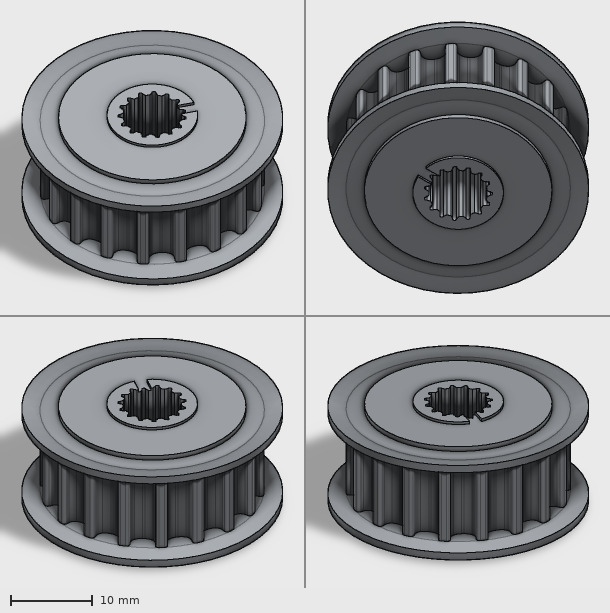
import cadquery as cq
import math


total_height = 14.29
half_height = total_height / 2
hub_rise = 0.36
boss_top = half_height - hub_rise
tooth_end = 5.14

flange_radius = 16.0
flange_thickness = 1.0
flange_dish = 0.39

tooth_tip_radius = 13.755
boss_radius = 11.5
hub_radius = 5.56

tooth_count = 18
tooth_pitch = 360 / tooth_count
groove_root_radius = 11.65
groove_flat_half_width = 0.14
groove_floor_half_width = 1.13
groove_mouth_half_width = 2.07
groove_floor_arc_radius = 1.8
tooth_tip_fillet = 0.42

spline_count = 15
spline_pitch = 360 / spline_count
bore_radius = 3.57
spline_root_radius = 4.2
spline_root_fillet = 0.24
spline_mouth_half_width = 0.48

slot_width = 1.6

cut_margin = 1.0


def centered_cylinder(radius, half_length):
    return cq.Workplane("XY").circle(radius).extrude(half_length, both=True)


def turned(body, angle):
    return body.rotate((0, 0, 0), (0, 0, 1), angle)


def belt_groove():
    """Cutter for one belt groove on the +X side: flat root, two arcs, radial wall and tip fillet."""
    floor_angle = math.asin((groove_floor_half_width - groove_flat_half_width) / groove_floor_arc_radius)
    floor_end_x = groove_root_radius + groove_floor_arc_radius * (1 - math.cos(floor_angle))

    mouth_angle = math.asin(groove_mouth_half_width / tooth_tip_radius)
    mouth_x = tooth_tip_radius * math.cos(mouth_angle)
    fillet_center_radius = tooth_tip_radius - tooth_tip_fillet
    wall_end_x = fillet_center_radius * math.cos(mouth_angle)
    wall_y = fillet_center_radius * math.sin(mouth_angle) - tooth_tip_fillet

    side_arc_radius = (wall_y - groove_floor_half_width) / (1 - math.sin(floor_angle))
    wall_start_x = floor_end_x + side_arc_radius * math.cos(floor_angle)

    outside_x = tooth_tip_radius + cut_margin
    half_groove = (
        cq.Workplane("XY")
        .moveTo(groove_root_radius, 0)
        .lineTo(groove_root_radius, groove_flat_half_width)
        .tangentArcPoint((floor_end_x, groove_floor_half_width), relative=False)
        .tangentArcPoint((wall_start_x, wall_y), relative=False)
        .lineTo(wall_end_x, wall_y)
        .tangentArcPoint((mouth_x, groove_mouth_half_width), relative=False)
        .lineTo(outside_x, groove_mouth_half_width)
        .lineTo(outside_x, 0)
        .close()
        .extrude(tooth_end, both=True)
    )
    return half_groove.union(half_groove.mirror("XZ"))


def spline_groove():
    """Cutter for one spline groove on the +X side: tapered flanks and a round root."""
    mouth_x = math.sqrt(bore_radius**2 - spline_mouth_half_width**2)
    fillet_center_x = spline_root_radius - spline_root_fillet
    return (
        cq.Workplane("XY")
        .moveTo(0, -spline_mouth_half_width)
        .lineTo(mouth_x, -spline_mouth_half_width)
        .lineTo(fillet_center_x, -spline_root_fillet)
        .threePointArc((spline_root_radius, 0), (fillet_center_x, spline_root_fillet))
        .lineTo(mouth_x, spline_mouth_half_width)
        .lineTo(0, spline_mouth_half_width)
        .close()
        .extrude(half_height, both=True)
    )


def alignment_slot():
    """Cutter for the slot in the upper hub face, as deep as the hub rises above the boss."""
    return cq.Workplane("XY", origin=(0, 0, boss_top)).box(
        slot_width, hub_radius + cut_margin, hub_rise, centered=(True, False, False)
    )


def make_core():
    core = centered_cylinder(tooth_tip_radius, tooth_end)
    tooth_cutter = belt_groove()
    for i in range(tooth_count):
        core = core.cut(turned(tooth_cutter, (i + 0.5) * tooth_pitch))

    core = core.union(centered_cylinder(boss_radius, boss_top))
    core = core.union(centered_cylinder(hub_radius, half_height))

    core = core.cut(centered_cylinder(bore_radius, half_height))
    spline_cutter = spline_groove()
    for i in range(spline_count):
        core = core.cut(turned(spline_cutter, 90 + i * spline_pitch))

    slot = alignment_slot()
    return core.cut(slot).cut(slot.mirror("XY"))


def make_flange():
    """Upper flange: flat over the tooth ends and dished away from the belt outside them."""
    inner_face = tooth_end
    outer_face = tooth_end + flange_thickness
    return (
        cq.Workplane("XZ")
        .moveTo(boss_radius, inner_face)
        .lineTo(tooth_tip_radius, inner_face)
        .lineTo(flange_radius, inner_face + flange_dish)
        .lineTo(flange_radius, outer_face + flange_dish)
        .lineTo(tooth_tip_radius, outer_face)
        .lineTo(boss_radius, outer_face)
        .close()
        .revolve(360, (0, 0, 0), (0, 1, 0))
    )


core = make_core()
upper_flange = make_flange()
lower_flange = upper_flange.mirror("XY")

result = cq.Compound.makeCompound([core.val(), upper_flange.val(), lower_flange.val()])